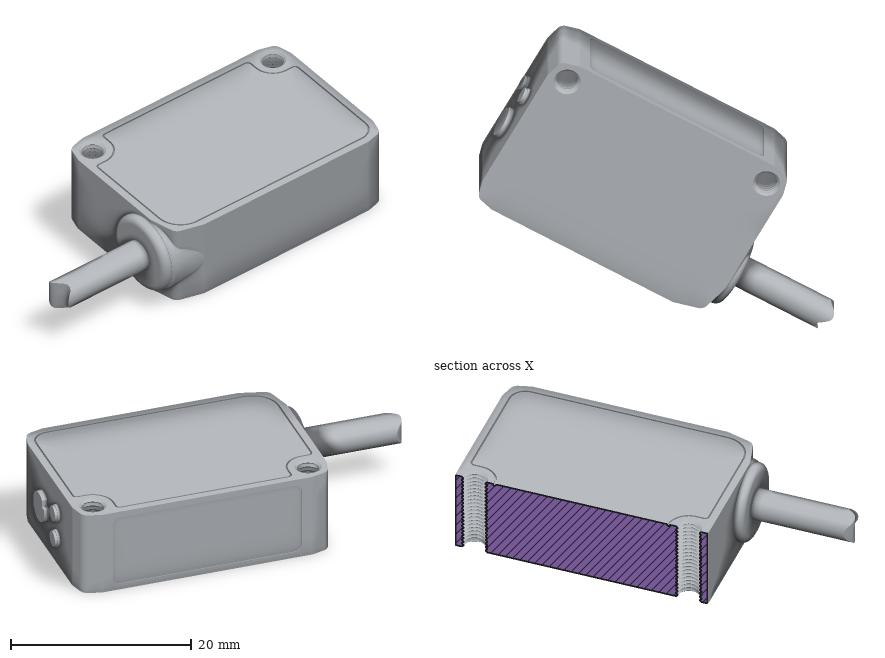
import cadquery as cq
import math


WIDTH = 20.0
LENGTH = 29.95
HEIGHT = 10.0
TOTAL_LENGTH = 43.5
TOP = HEIGHT / 2
HALF_WIDTH = WIDTH / 2
HALF_LENGTH = LENGTH / 2
CORNER_REACH = 2.6
CABLE_CORNER_REACH = 4.25
CORNER_TAPER = math.tan(math.radians(15))
CORNER_RADIUS = 1.0

HOLE_INSET = 2.3
THREAD_MINOR = 2.5
THREAD_MAJOR = 3.0
THREAD_TURNS = 20
THREAD_PITCH = HEIGHT / THREAD_TURNS

GROOVE_INSET = 0.83
GROOVE_WIDTH = 0.2
GROOVE_DEPTH = 0.2
COVER_NOTCH_RADIUS = 2.25
COVER_TIP_RADIUS = 0.55
COVER_BACK_RADIUS = 1.95
COVER_CABLE_RADIUS = 3.15

PANEL_LENGTH = 22.2
PANEL_HEIGHT = 8.53
PANEL_RADIUS = 0.83
PANEL_DEPTH = 0.1

CABLE_X = HALF_WIDTH - 5.0
CABLE_DIAMETER = 3.6
FLANGE_DIAMETER = 9.2
FLANGE_THICKNESS = 1.05
FLANGE_ROUND = 0.8
SEAT_RADIUS = 4.85
SEAT_INNER_RADIUS = 5.0
SEAT_CHAMFER_WIDTH = 0.17
SEAT_CHAMFER_DEPTH = 0.35

CREST_X = -0.75
CREST_RADIUS = 0.83
HOLLOW_RADIUS = 0.55
BREAK_LINE_RUN = 0.65
BREAK_LINE_ANGLE = math.radians(50)
BREAK_SIDE_ANGLE = math.radians(55)

FITTING_HEIGHT = 0.6
LAMP_X = -2.5
LAMP_OFFSET_Z = 1.6
LAMP_DIAMETER = 2.0
LAMP_TOP_DIAMETER = 1.8
LAMP_STEP = FITTING_HEIGHT / 2
ADJUSTER_X = 2.05
ADJUSTER_DIAMETER = 3.7
ADJUSTER_TOP_DIAMETER = 3.52
ADJUSTER_NOTCH_X = -1.15
ADJUSTER_NOTCH_Z = 0.52


def turned_y(x, z, points):
    """Solid of revolution about the Y-parallel axis through (x, z), from (radius, y) points."""
    profile = cq.Workplane("XY").polyline(points).close()
    return profile.revolve(360, (0, 0, 0), (0, 1, 0)).translate((x, 0, z))


def make_housing():
    """Block whose corners are drawn in by two tapered flats and a small round."""
    outline = []
    corners = [
        (-1, -1, CORNER_REACH),
        (-1, 1, CORNER_REACH),
        (1, 1, CORNER_REACH),
        (1, -1, CABLE_CORNER_REACH),
    ]
    for side_x, side_y, reach in corners:
        tip = reach * CORNER_TAPER / (1 + CORNER_TAPER)
        on_side = (side_x * HALF_WIDTH, side_y * (HALF_LENGTH - reach))
        corner = (side_x * (HALF_WIDTH - tip), side_y * (HALF_LENGTH - tip))
        on_end = (side_x * (HALF_WIDTH - reach), side_y * HALF_LENGTH)
        if side_x == side_y:
            outline += [on_end, corner, on_side]
        else:
            outline += [on_side, corner, on_end]
    block = cq.Workplane("XY").workplane(offset=-TOP).polyline(outline).close().extrude(HEIGHT)
    return block.edges("|Z").fillet(CORNER_RADIUS)


def make_hole_cutter():
    """Through hole with ring-shaped thread grooves."""
    minor = THREAD_MINOR / 2
    major = THREAD_MAJOR / 2
    half_pitch = THREAD_PITCH / 2
    points = [(0, TOP), (major, TOP)]
    for turn in range(THREAD_TURNS):
        root = TOP - turn * THREAD_PITCH
        points.append((minor, root - half_pitch))
        points.append((major, root - THREAD_PITCH))
    points.append((0, -TOP))
    return cq.Workplane("XZ").polyline(points).close().revolve(360, (0, 0, 0), (0, 1, 0))


def make_cover(inset, height):
    """Plate shaped like the top cover, its edge set in from the housing sides."""
    extra = inset - GROOVE_INSET
    plate = (
        cq.Workplane("XY")
        .workplane(offset=TOP - height)
        .rect(WIDTH - 2 * inset, LENGTH - 2 * inset)
        .extrude(height)
    )
    plate = plate.edges("|Z and >X and >Y").fillet(COVER_BACK_RADIUS - extra)
    plate = plate.edges("|Z and >X and <Y").fillet(COVER_CABLE_RADIUS - extra)
    notch_radius = COVER_NOTCH_RADIUS + extra
    notch_size = 2 * (HOLE_INSET + notch_radius)
    for side in (-1, 1):
        notch = (
            cq.Workplane("XY")
            .workplane(offset=TOP - height)
            .center(-HALF_WIDTH, side * HALF_LENGTH)
            .rect(notch_size, notch_size)
            .extrude(height)
            .edges("|Z")
            .fillet(notch_radius)
        )
        plate = plate.cut(notch)
    plate = plate.edges("|Z and <X").fillet(COVER_TIP_RADIUS - extra)
    for end in ("<Y", ">Y"):
        tip = plate.faces(end).edges("|Z").edges("<X")
        plate = tip.fillet(COVER_TIP_RADIUS - extra)
    return plate


def make_cover_groove():
    outer = make_cover(GROOVE_INSET, GROOVE_DEPTH)
    inner = make_cover(GROOVE_INSET + GROOVE_WIDTH, GROOVE_DEPTH)
    return outer.cut(inner)


def make_side_panel():
    panel = cq.Workplane("XY").box(PANEL_DEPTH, PANEL_LENGTH, PANEL_HEIGHT, centered=(False, True, True))
    return panel.edges("|X").fillet(PANEL_RADIUS).translate((-HALF_WIDTH, 0, 0))


def make_cable_outlet():
    front = -HALF_LENGTH
    flange_end = front - FLANGE_THICKNESS
    seat_end = front + CABLE_CORNER_REACH
    flange_radius = FLANGE_DIAMETER / 2
    seat_points = [
        (0, front),
        (SEAT_RADIUS - SEAT_CHAMFER_WIDTH, front),
        (SEAT_RADIUS, front + SEAT_CHAMFER_DEPTH),
        (SEAT_INNER_RADIUS, seat_end),
        (0, seat_end),
    ]
    flange_points = [(0, front), (flange_radius, front), (flange_radius, flange_end), (0, flange_end)]
    seat = turned_y(CABLE_X, 0, seat_points)
    flange = turned_y(CABLE_X, 0, flange_points).faces("<Y").edges().fillet(FLANGE_ROUND)
    return seat.union(flange).union(make_cable(flange_end))


def make_cable(start):
    """Cable stub from y = start, ending in a wavy break across its width."""
    radius = CABLE_DIAMETER / 2
    tip = FITTING_HEIGHT + HALF_LENGTH - TOTAL_LENGTH
    line_sin = math.sin(BREAK_LINE_ANGLE)
    line_cos = math.cos(BREAK_LINE_ANGLE)
    side_sin = math.sin(BREAK_SIDE_ANGLE)
    side_cos = math.cos(BREAK_SIDE_ANGLE)
    side_slope = side_sin / side_cos

    crest_y = tip + CREST_RADIUS
    crest_start = (CREST_X - CREST_RADIUS * side_sin, crest_y - CREST_RADIUS * side_cos)
    crest_end = (CREST_X + CREST_RADIUS * line_sin, crest_y - CREST_RADIUS * line_cos)
    left_y = crest_start[1] + (crest_start[0] + radius) * side_slope

    hollow_start = (crest_end[0] + BREAK_LINE_RUN, crest_end[1] + BREAK_LINE_RUN * line_sin / line_cos)
    hollow_x = hollow_start[0] + HOLLOW_RADIUS * line_sin
    hollow_y = hollow_start[1] - HOLLOW_RADIUS * line_cos
    hollow_end = (hollow_x + HOLLOW_RADIUS * side_sin, hollow_y + HOLLOW_RADIUS * side_cos)
    right_y = hollow_end[1] - (radius - hollow_end[0]) * side_slope

    silhouette = (
        cq.Workplane("XY")
        .workplane(offset=-radius)
        .moveTo(-radius, start)
        .lineTo(-radius, left_y)
        .lineTo(*crest_start)
        .threePointArc((CREST_X, tip), crest_end)
        .lineTo(*hollow_start)
        .threePointArc((hollow_x, hollow_y + HOLLOW_RADIUS), hollow_end)
        .lineTo(radius, right_y)
        .lineTo(radius, start)
        .close()
        .extrude(CABLE_DIAMETER)
    )
    rod = turned_y(0, 0, [(0, start), (radius, start), (radius, tip), (0, tip)])
    return rod.intersect(silhouette).translate((CABLE_X, 0, 0))


def make_lamp(z):
    back = HALF_LENGTH
    step = back + LAMP_STEP
    tip = back + FITTING_HEIGHT
    base_radius = LAMP_DIAMETER / 2
    top_radius = LAMP_TOP_DIAMETER / 2
    points = [
        (0, back),
        (base_radius, back),
        (base_radius, step),
        (top_radius, step),
        (top_radius, tip),
        (0, tip),
    ]
    return turned_y(LAMP_X, z, points)


def make_adjuster():
    """Tapered disc with a notch cut from its upper -X side."""
    back = HALF_LENGTH
    tip = back + FITTING_HEIGHT
    radius = ADJUSTER_DIAMETER / 2
    disc = turned_y(ADJUSTER_X, 0, [(0, back), (radius, back), (ADJUSTER_TOP_DIAMETER / 2, tip), (0, tip)])
    notch = (
        cq.Workplane("XY")
        .box(radius, FITTING_HEIGHT, radius, centered=False)
        .translate((ADJUSTER_X + ADJUSTER_NOTCH_X - radius, back, ADJUSTER_NOTCH_Z))
    )
    return disc.cut(notch)


result = make_housing().union(make_cable_outlet())

for side in (-1, 1):
    hole_position = (HOLE_INSET - HALF_WIDTH, side * (HALF_LENGTH - HOLE_INSET), 0)
    result = result.cut(make_hole_cutter().translate(hole_position))

result = result.cut(make_cover_groove()).cut(make_side_panel())

for side in (-1, 1):
    result = result.union(make_lamp(side * LAMP_OFFSET_Z))
result = result.union(make_adjuster())